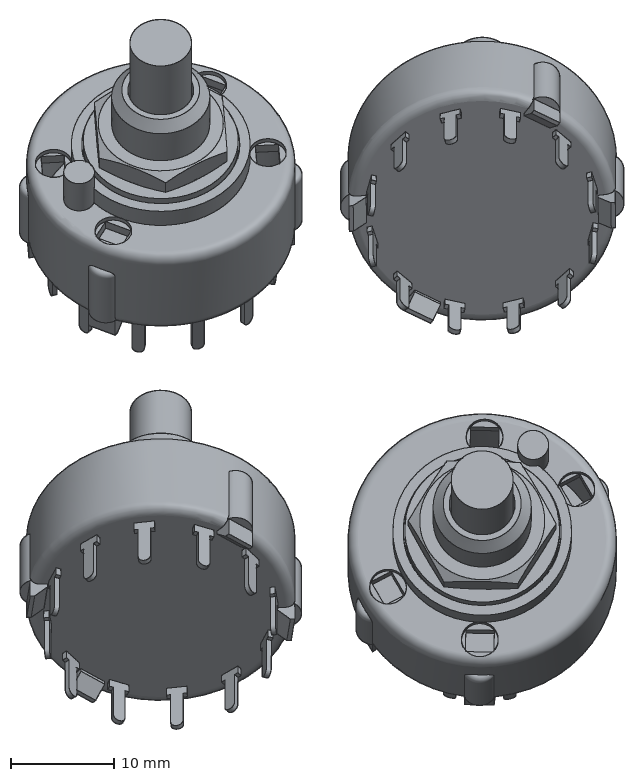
import cadquery as cq
import math


housing_bottom = 5.43
housing_top = 15.9
boss_top = 17.95
washer_top = 18.52
nut_top = 20.95
bushing_top = 25.93
shaft_top = 32.9

housing_diameter = 26.0
housing_fillet = 1.0
housing_wall = 1.0
cavity_diameter = housing_diameter - 2 * housing_wall
cavity_floor = housing_bottom + housing_wall
boss_diameter = 17.3
bushing_diameter = 9.5
bushing_chamfer = 1.0
shaft_diameter = 6.0
shaft_bore_diameter = 6.35
shaft_seat = housing_top

washer_diameter = 15.0
washer_thickness = 1.0
washer_recess_diameter = 15.3
washer_bottom = washer_top - washer_thickness

nut_across_flats = 12.4
nut_face_diameter = 12.1
nut_corner_drop = 0.53
nut_sides = 6
nut_turn = 180 / nut_sides
nut_corner_radius = nut_across_flats / 2 / math.cos(math.pi / nut_sides)

peg_diameter = 3.0
peg_radius_position = 9.5
peg_top = 19.9

latches = [(60, -1), (120, 1), (240, -1), (300, 1)]
pocket_radius_position = 10.4
pocket_diameter = 3.55
pocket_depth = 0.5
slot_radial_size = 2.25
slot_tangential_size = math.sqrt(pocket_diameter**2 - slot_radial_size**2)
slot_depth = 1.0
cavity_top = housing_top - pocket_depth - slot_depth

rib_radius = 1.68
rib_radius_position = 12.05
rib_bottom = 5.92
rib_top = 12.9
rib_fillet = 0.5

foot_bottom = 3.75
foot_slope_top = 5.07
foot_root = cavity_floor
foot_outer_position = 12.9
foot_toe_position = 12.47
foot_inner_position = 11.22
foot_width = 2.85
foot_lean = 0.2

pin_count = 12
pin_spacing_angle = 360 / pin_count
pin_radius_position = 11.05
pin_width = 1.22
pin_thickness = 0.5
pin_shoulder_width = 2.0
pin_shoulder_bottom = 4.47


def cylinder(diameter, bottom, top, x=0.0, y=0.0):
    """Upright cylinder between two heights."""
    return cq.Workplane("XY", origin=(x, y, bottom)).circle(diameter / 2).extrude(top - bottom)


def turned_to(shape, angle):
    """Copy of a shape modelled along +X, turned about the shaft axis."""
    return shape.rotate((0, 0, 0), (0, 0, 1), angle)


def make_drum():
    """Main drum with rounded top and bottom rims."""
    drum = cylinder(housing_diameter, housing_bottom, housing_top)
    return drum.edges().fillet(housing_fillet)


def make_pocket():
    """Shallow round pocket with a deeper rectangular slot inscribed in it."""
    pocket_floor = housing_top - pocket_depth
    pocket = cylinder(pocket_diameter, pocket_floor, housing_top, x=pocket_radius_position)
    slot = (
        cq.Workplane("XY", origin=(pocket_radius_position, 0, pocket_floor))
        .rect(slot_radial_size, slot_tangential_size)
        .extrude(-slot_depth)
    )
    return pocket.union(slot)


def make_rib():
    """Round rib partly sunk into the side of the drum, with a rounded top."""
    rib = cylinder(2 * rib_radius, rib_bottom, rib_top, x=rib_radius_position)
    return rib.faces(">Z").edges().fillet(rib_fillet)


def make_foot(lean_direction):
    """Foot below the rib: leans sideways toward the axis and slopes up on its inner side."""
    half_width = foot_width / 2
    lean = foot_lean * lean_direction
    plan = (
        cq.Workplane("XY", origin=(0, 0, foot_bottom))
        .moveTo(foot_outer_position, -half_width)
        .lineTo(foot_outer_position, half_width)
        .lineTo(foot_inner_position, half_width + lean)
        .lineTo(foot_inner_position, lean - half_width)
        .close()
        .extrude(foot_root - foot_bottom)
    )
    slope_cut = (
        cq.Workplane("XZ")
        .moveTo(foot_toe_position, foot_bottom)
        .lineTo(foot_inner_position, foot_slope_top)
        .lineTo(foot_inner_position, foot_bottom)
        .close()
        .extrude(foot_width, both=True)
    )
    return plan.cut(slope_cut)


def make_pin():
    """Flat terminal pin with a wider shoulder and a fully rounded tip."""
    tip_radius = pin_width / 2
    shoulder_half = pin_shoulder_width / 2
    root = cavity_floor
    return (
        cq.Workplane("YZ", origin=(pin_radius_position, 0, 0))
        .moveTo(-shoulder_half, root)
        .lineTo(-shoulder_half, pin_shoulder_bottom)
        .lineTo(-tip_radius, pin_shoulder_bottom)
        .lineTo(-tip_radius, tip_radius)
        .threePointArc((0, 0), (tip_radius, tip_radius))
        .lineTo(tip_radius, pin_shoulder_bottom)
        .lineTo(shoulder_half, pin_shoulder_bottom)
        .lineTo(shoulder_half, root)
        .close()
        .extrude(pin_thickness / 2, both=True)
    )


def make_boss():
    """Raised boss with the recess that holds the washer."""
    boss = cylinder(boss_diameter, housing_top, boss_top)
    recess = cylinder(washer_recess_diameter, washer_bottom, boss_top)
    return boss.cut(recess)


def make_bushing():
    """Plain bushing with a chamfered mouth."""
    bushing = cylinder(bushing_diameter, housing_top, bushing_top)
    return bushing.faces(">Z").edges().chamfer(bushing_chamfer)


def make_washer():
    """Flat washer on the recess floor, under the nut."""
    return cylinder(washer_diameter, washer_bottom, washer_top)


def make_nut():
    """Hexagon nut, corners pointing along Y, with its corners coned off on both faces."""
    face_radius = nut_face_diameter / 2
    hexagon = (
        cq.Workplane("XY", origin=(0, 0, washer_top))
        .polygon(nut_sides, 2 * nut_corner_radius)
        .extrude(nut_top - washer_top)
        .rotate((0, 0, 0), (0, 0, 1), nut_turn)
    )
    double_cone = (
        cq.Workplane("XZ")
        .moveTo(0, washer_top)
        .lineTo(face_radius, washer_top)
        .lineTo(nut_corner_radius, washer_top + nut_corner_drop)
        .lineTo(nut_corner_radius, nut_top - nut_corner_drop)
        .lineTo(face_radius, nut_top)
        .lineTo(0, nut_top)
        .close()
        .revolve(360, (0, 0, 0), (0, 1, 0))
    )
    return hexagon.intersect(double_cone)


def make_peg():
    """Upright locating peg at the edge of the boss, on the -Y side."""
    return cylinder(peg_diameter, cavity_top, peg_top, y=-peg_radius_position)


def make_housing():
    """Fixed body: hollow drum with latches, pins, boss, peg, bushing, washer and nut."""
    housing = make_drum()
    for angle, _ in latches:
        housing = housing.union(turned_to(make_rib(), angle))
    housing = housing.cut(cylinder(cavity_diameter, cavity_floor, cavity_top))
    for angle, lean_direction in latches:
        housing = housing.cut(turned_to(make_pocket(), angle))
        housing = housing.union(turned_to(make_foot(lean_direction), angle))
    for index in range(pin_count):
        housing = housing.union(turned_to(make_pin(), (index + 0.5) * pin_spacing_angle))
    for part in [make_boss(), make_peg(), make_bushing(), make_washer(), make_nut()]:
        housing = housing.union(part)
    bore = cylinder(shaft_bore_diameter, shaft_seat, bushing_top)
    return housing.cut(bore).solids()


def make_shaft():
    """Plain round shaft standing on the bottom of its clearance bore."""
    return cylinder(shaft_diameter, shaft_seat, shaft_top)


housing = make_housing()
shaft = make_shaft()

result = cq.Compound.makeCompound([housing.val(), shaft.val()])